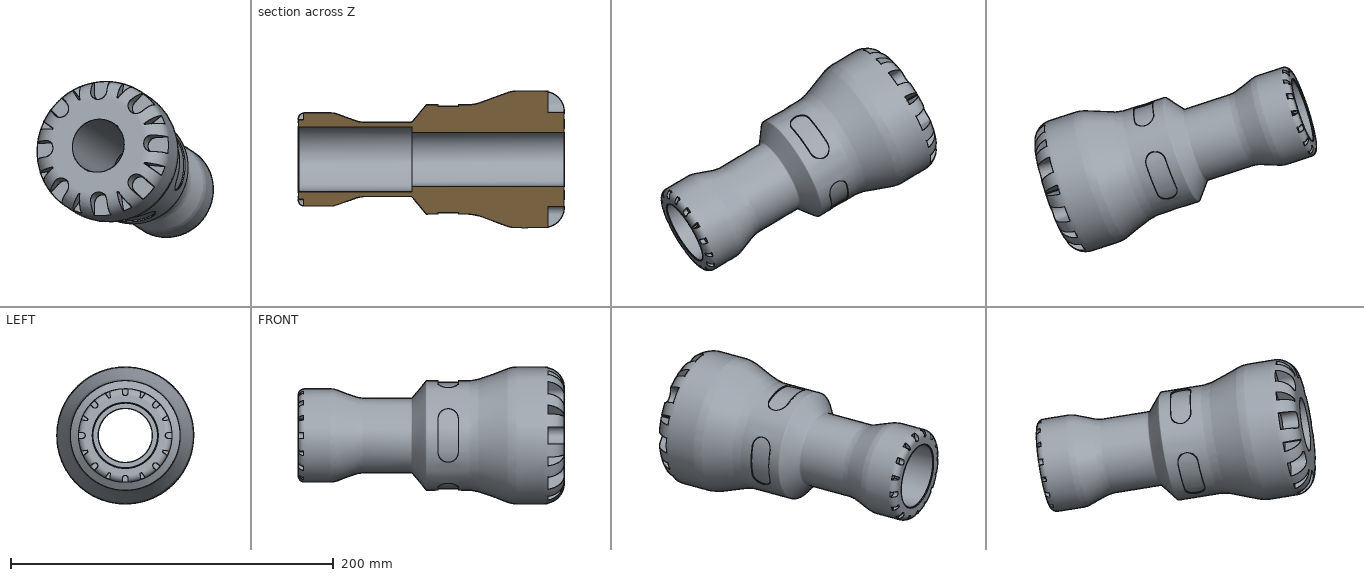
import cadquery as cq
import math

LENGTH = 165.0
NOSE_RADIUS = 58.0 / 2
NECK_RADIUS = 46.4 / 2
COLLAR_RADIUS = 68.0 / 2
HEAD_RADIUS = 85.0 / 2

TAPER_ANGLE = math.radians(20)
NOSE_END = 22.1
NECK_END = 70.55
COLLAR_START = 79.45
COLLAR_EDGE_RADIUS = 0.7
HEAD_START = 132.6

NOSE_BLEND = 12.0
COLLAR_BLEND = 17.0
HEAD_BLEND = 16.0
NOSE_ROUND = 4.0
HEAD_ROUND = 12.5

SOCKET_RADIUS = 40.0 / 2
SOCKET_DEPTH = NECK_END
SOCKET_CHAMFER = 0.5
BORE_RADIUS = 33.4 / 2

RECESS_COUNT = 4
RECESS_CENTER = 93.0
RECESS_WIDTH = 12.6
RECESS_LENGTH = 33.2
RECESS_DEPTH = 0.9

NOTCH_PAIRS = 8
V_HALF_ANGLE = math.radians(14.4)

NOSE_NOTCH_LENGTH = 3.2
NOSE_U_WIDTH = 3.5
NOSE_U_FLOOR = 24.75
NOSE_V_WIDTH = 1.1
NOSE_V_FLOOR = 25.2

HEAD_NOTCH_LENGTH = 10.1
HEAD_NOTCH_START = LENGTH - HEAD_NOTCH_LENGTH
HEAD_U_WIDTH = 10.4
HEAD_U_FLOOR = 29.2
HEAD_V_WIDTH = 0.6
HEAD_V_FLOOR = 32.0


def around_axis(tool, count, first_angle=0.0):
    """Copies of a tool, evenly spaced around the X axis."""
    copies = cq.Workplane("XY")
    for i in range(count):
        angle = first_angle + i * 360.0 / count
        copies = copies.add(tool.rotate((0, 0, 0), (1, 0, 0), angle))
    return copies.combine()


def make_body():
    """Turned outside shape with its blends and rounded ends."""
    nose_taper_end = NOSE_END + (NOSE_RADIUS - NECK_RADIUS) / math.tan(TAPER_ANGLE)
    collar_end = HEAD_START - (HEAD_RADIUS - COLLAR_RADIUS) / math.tan(TAPER_ANGLE)
    profile = [
        (0, 0),
        (0, NOSE_RADIUS),
        (NOSE_END, NOSE_RADIUS),
        (nose_taper_end, NECK_RADIUS),
        (NECK_END, NECK_RADIUS),
        (COLLAR_START, COLLAR_RADIUS),
        (collar_end, COLLAR_RADIUS),
        (HEAD_START, HEAD_RADIUS),
        (LENGTH, HEAD_RADIUS),
        (LENGTH, 0),
    ]
    body = cq.Workplane("XY").polyline(profile).close().revolve(360, (0, 0, 0), (1, 0, 0))
    rounds = [
        (0, NOSE_RADIUS, NOSE_ROUND),
        (NOSE_END, NOSE_RADIUS, NOSE_BLEND),
        (nose_taper_end, NECK_RADIUS, NOSE_BLEND),
        (NECK_END, NECK_RADIUS, COLLAR_EDGE_RADIUS),
        (COLLAR_START, COLLAR_RADIUS, COLLAR_EDGE_RADIUS),
        (collar_end, COLLAR_RADIUS, COLLAR_BLEND),
        (HEAD_START, HEAD_RADIUS, HEAD_BLEND),
        (LENGTH, HEAD_RADIUS, HEAD_ROUND),
    ]
    margin = 0.1
    for x, radius, blend in rounds:
        reach = radius + margin
        rim = cq.selectors.BoxSelector(
            (x - margin, -reach, -reach), (x + margin, reach, reach), boundingbox=True
        )
        body = body.edges(rim).edges("%CIRCLE").fillet(blend)
    return body


def make_bore():
    """Through bore with a chamfered socket at the nose."""
    bore = cq.Workplane("YZ").circle(BORE_RADIUS).extrude(LENGTH)
    socket = cq.Workplane("YZ").circle(SOCKET_RADIUS).extrude(SOCKET_DEPTH)
    mouth = cq.Workplane("XY").polyline([
        (0, 0),
        (0, SOCKET_RADIUS + SOCKET_CHAMFER),
        (SOCKET_CHAMFER, SOCKET_RADIUS),
        (SOCKET_CHAMFER, 0),
    ]).close().revolve(360, (0, 0, 0), (1, 0, 0))
    return bore.union(socket).union(mouth)


def make_recesses():
    """Obround recesses whose floors follow the collar."""
    recess = (
        cq.Workplane("XY")
        .center(RECESS_CENTER, 0)
        .slot2D(RECESS_LENGTH, RECESS_WIDTH, 90)
        .extrude(HEAD_RADIUS)
    )
    core = (
        cq.Workplane("YZ")
        .workplane(offset=RECESS_CENTER - RECESS_WIDTH)
        .circle(COLLAR_RADIUS - RECESS_DEPTH)
        .extrude(2 * RECESS_WIDTH)
    )
    return around_axis(recess.cut(core), RECESS_COUNT)


def make_u_notch(x_start, length, width, floor):
    """Notch with parallel sides and a fully round floor."""
    half_width = width / 2
    round_center = floor + half_width
    return (
        cq.Workplane("YZ")
        .workplane(offset=x_start)
        .moveTo(-half_width, HEAD_RADIUS)
        .lineTo(-half_width, round_center)
        .threePointArc((0, floor), (half_width, round_center))
        .lineTo(half_width, HEAD_RADIUS)
        .close()
        .extrude(length)
    )


def make_v_notch(x_start, length, floor_width, floor):
    """Notch that widens outward from a narrow flat floor."""
    half_floor = floor_width / 2
    half_top = half_floor + (HEAD_RADIUS - floor) * math.tan(V_HALF_ANGLE)
    return (
        cq.Workplane("YZ")
        .workplane(offset=x_start)
        .polyline([
            (-half_floor, floor),
            (half_floor, floor),
            (half_top, HEAD_RADIUS),
            (-half_top, HEAD_RADIUS),
        ])
        .close()
        .extrude(length)
    )


def cut_notch_ring(body, u_notch, v_notch):
    """Ring of U notches with a V notch midway between neighbours."""
    half_pitch = 180.0 / NOTCH_PAIRS
    body = body.cut(around_axis(u_notch, NOTCH_PAIRS))
    return body.cut(around_axis(v_notch, NOTCH_PAIRS, half_pitch))


result = make_body().cut(make_bore()).cut(make_recesses())

result = cut_notch_ring(
    result,
    make_u_notch(0, NOSE_NOTCH_LENGTH, NOSE_U_WIDTH, NOSE_U_FLOOR),
    make_v_notch(0, NOSE_NOTCH_LENGTH, NOSE_V_WIDTH, NOSE_V_FLOOR),
)

result = cut_notch_ring(
    result,
    make_u_notch(HEAD_NOTCH_START, HEAD_NOTCH_LENGTH, HEAD_U_WIDTH, HEAD_U_FLOOR),
    make_v_notch(HEAD_NOTCH_START, HEAD_NOTCH_LENGTH, HEAD_V_WIDTH, HEAD_V_FLOOR),
)